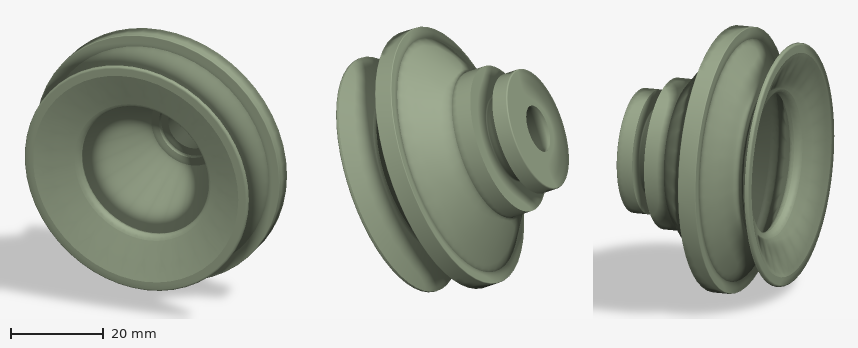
import cadquery as cq


total_length = 35.3
collar_end = 3.65
groove_end = 7.5
shoulder_end = 12.05
ring_start = 20.0
ring_end = 24.05
neck_start = 30.0
neck_end = 30.6
lip_edge_start = 34.5

collar_radius = 13.6
groove_radius = 9.5
shoulder_radius = 16.5
ring_radius = 29.0
bellows_root_radius = 26.4
neck_radius = 17.9
lip_radius = 26.5

bore_radius = 5.2
counterbore_radius = 6.95
counterbore_depth = 1.15
floor_radius = 8.75
floor_station = 8.0
chamber_radius = 26.2
chamber_station = 22.15
throat_radius = 15.15
throat_start = 29.4
throat_end = 31.3
lip_opening_radius = 24.35

groove_fillet = 0.3
collar_fillet = 0.3
ring_fillet = 0.2
lip_fillet = 0.45
neck_fillet = 0.45
throat_fillet = 1.6
chamber_fillet = 1.3
throat_back_fillet = 1.4

match_tolerance = 0.005


def revolve_profile(points):
    """Revolve a closed outline of (radius, station) points about the Y axis."""
    outline = [(radius, -station) for radius, station in points]
    return cq.Workplane("XY").polyline(outline).close().revolve(360, (0, 0), (0, 1))


def fillet_circles(body, roundings):
    """Round circular edges, each given as (radius, station, fillet radius)."""
    for radius, station, fillet_radius in roundings:
        circles = [
            edge
            for edge in body.edges("%CIRCLE").vals()
            if abs(edge.radius() - radius) < match_tolerance
            and abs(edge.Center().y + station) < match_tolerance
        ]
        body = body.newObject(circles).fillet(fillet_radius)
    return body


def make_body():
    """Outer form: collar, groove, shoulder, bellows with its ring, and lip."""
    body = revolve_profile([
        (0, 0),
        (collar_radius, 0),
        (collar_radius, collar_end),
        (groove_radius, collar_end),
        (groove_radius, groove_end),
        (shoulder_radius, groove_end),
        (shoulder_radius, shoulder_end),
        (bellows_root_radius, ring_start),
        (ring_radius, ring_start),
        (ring_radius, ring_end),
        (bellows_root_radius, ring_end),
        (neck_radius, neck_start),
        (neck_radius, neck_end),
        (lip_radius, lip_edge_start),
        (lip_radius, total_length),
        (0, total_length),
    ])
    return fillet_circles(body, [
        (collar_radius, 0, collar_fillet),
        (groove_radius, collar_end, groove_fillet),
        (groove_radius, groove_end, groove_fillet),
        (ring_radius, ring_start, ring_fillet),
        (ring_radius, ring_end, ring_fillet),
        (neck_radius, neck_end, neck_fillet),
        (lip_radius, total_length, lip_fillet),
    ])


def make_cavity():
    """Inner space: bore, counterbore, bellows chamber, throat and lip cone."""
    cavity = revolve_profile([
        (0, 0),
        (bore_radius, 0),
        (bore_radius, floor_station - counterbore_depth),
        (counterbore_radius, floor_station - counterbore_depth),
        (counterbore_radius, floor_station),
        (floor_radius, floor_station),
        (chamber_radius, chamber_station),
        (throat_radius, throat_start),
        (throat_radius, throat_end),
        (lip_opening_radius, total_length),
        (0, total_length),
    ])
    return fillet_circles(cavity, [
        (chamber_radius, chamber_station, chamber_fillet),
        (throat_radius, throat_start, throat_back_fillet),
        (throat_radius, throat_end, throat_fillet),
    ])


result = make_body().cut(make_cavity())